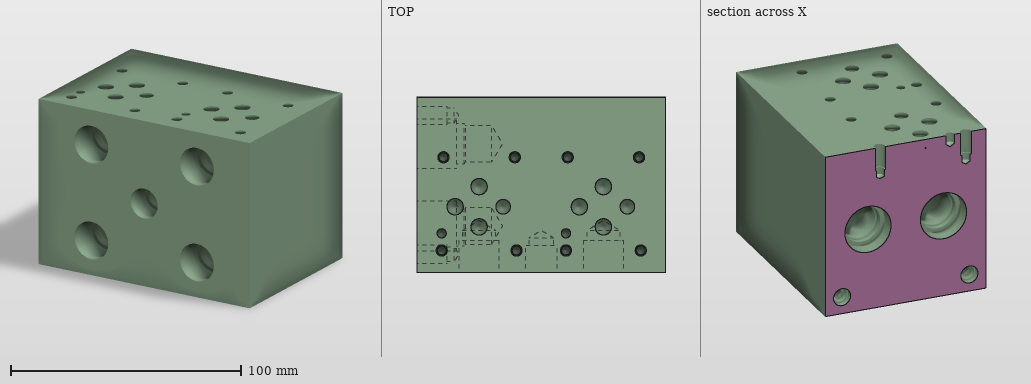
import cadquery as cq
import math

LENGTH = 108.0
SIDE = 76.2
DRILL_POINT_ANGLE = 118.0

INTO_END = (1, 0, 0)
INTO_FRONT = (0, 1, 0)
INTO_TOP = (0, 0, -1)

MAIN_PORT_SPACING = 35.7
MAIN_PORT_DIAMETER = 21.6
MAIN_PORT_DEPTH = 17.3
MAIN_PILOT_DIAMETER = 17.5
MAIN_PILOT_DEPTH = 20.5
MAIN_PASSAGE_DIAMETER = 15.9
MAIN_PASSAGE_DEPTH = 32.4

MOUNT_INSET = 8.0
MOUNT_THREAD_DIAMETER = 7.9
MOUNT_THREAD_DEPTH = 13.0
MOUNT_DRILL_DIAMETER = 6.5
MOUNT_DRILL_DEPTH = 16.2

STATION_SPACING = 54.0
SERVICE_PORT_SPACING = 44.3
SERVICE_PORT_DIAMETER = 17.3
SERVICE_PORT_DEPTH = 14.0
SERVICE_DRILL_DIAMETER = 14.2
SERVICE_DRILL_DEPTH = 18.4
GAUGE_PORT_DIAMETER = 13.8
GAUGE_PORT_DEPTH = 11.9
GAUGE_DRILL_DIAMETER = 10.7
GAUGE_DRILL_DEPTH = 15.1

REAR_SCREW_Y = 50.1
SCREW_ROW_SPACING = 40.5
REAR_SCREW_SPACING = 31.0
FRONT_SCREW_SPACING = 32.5
SCREW_THREAD_DIAMETER = 4.9
SCREW_THREAD_DEPTH = 10.8
SCREW_DRILL_DIAMETER = 3.8
SCREW_DRILL_DEPTH = 14.0
PIN_OFFSET = 7.5
PIN_DIAMETER = 4.0
PIN_DEPTH = 4.3
REAR_OIL_OFFSET = 12.7
SIDE_OIL_OFFSET = 21.5
FRONT_OIL_OFFSET = 30.2
SIDE_OIL_SPACING = 20.8
OIL_DIAMETER = 7.1
SMALL_OIL_DIAMETER = 6.4
OIL_DEPTH = 2.2


def mirrored(centre, spacing):
    """Two coordinates placed evenly about a centre."""
    return (centre - spacing / 2, centre + spacing / 2)


def drill_point_height(diameter):
    return diameter / 2 / math.tan(math.radians(DRILL_POINT_ANGLE / 2))


def blind_bore(position, direction, diameter, depth, pointed):
    """Round bore going inward from a face, with a flat or a conical drilled bottom."""
    start = cq.Vector(*position)
    inward = cq.Vector(*direction)
    radius = diameter / 2
    bore = cq.Solid.makeCylinder(radius, depth, start, inward)
    if not pointed:
        return bore
    tip = cq.Solid.makeCone(radius, 0, drill_point_height(diameter), start + inward * depth, inward)
    return bore.fuse(tip)


def threaded_hole(position, direction, thread, drill):
    """Flat-bottomed (diameter, depth) thread bore over a longer pointed (diameter, depth) drilling."""
    thread_bore = blind_bore(position, direction, *thread, pointed=False)
    drilling = blind_bore(position, direction, *drill, pointed=True)
    return thread_bore.fuse(drilling)


def main_ports():
    thread = (MAIN_PORT_DIAMETER, MAIN_PORT_DEPTH)
    pilot = (MAIN_PILOT_DIAMETER, MAIN_PILOT_DEPTH)
    tools = []
    for y in mirrored(SIDE / 2, MAIN_PORT_SPACING):
        position = (0, y, SIDE / 2)
        port = threaded_hole(position, INTO_END, thread, pilot)
        passage = blind_bore(position, INTO_END, MAIN_PASSAGE_DIAMETER, MAIN_PASSAGE_DEPTH, pointed=True)
        tools.append(port.fuse(passage))
    return tools


def mounting_holes():
    thread = (MOUNT_THREAD_DIAMETER, MOUNT_THREAD_DEPTH)
    drill = (MOUNT_DRILL_DIAMETER, MOUNT_DRILL_DEPTH)
    return [
        threaded_hole((0, y, MOUNT_INSET), INTO_END, thread, drill)
        for y in (MOUNT_INSET, SIDE - MOUNT_INSET)
    ]


def service_ports():
    thread = (SERVICE_PORT_DIAMETER, SERVICE_PORT_DEPTH)
    drill = (SERVICE_DRILL_DIAMETER, SERVICE_DRILL_DEPTH)
    return [
        threaded_hole((x, 0, z), INTO_FRONT, thread, drill)
        for x in mirrored(LENGTH / 2, STATION_SPACING)
        for z in mirrored(SIDE / 2, SERVICE_PORT_SPACING)
    ]


def gauge_port():
    thread = (GAUGE_PORT_DIAMETER, GAUGE_PORT_DEPTH)
    drill = (GAUGE_DRILL_DIAMETER, GAUGE_DRILL_DEPTH)
    return threaded_hole((LENGTH / 2, 0, SIDE / 2), INTO_FRONT, thread, drill)


def valve_station(station_x):
    """Screw holes, locating pin hole and four oil holes of one valve."""
    thread = (SCREW_THREAD_DIAMETER, SCREW_THREAD_DEPTH)
    drill = (SCREW_DRILL_DIAMETER, SCREW_DRILL_DEPTH)
    front_screw_y = REAR_SCREW_Y - SCREW_ROW_SPACING
    rear_screws = [(x, REAR_SCREW_Y) for x in mirrored(station_x, REAR_SCREW_SPACING)]
    front_screws = [(x, front_screw_y) for x in mirrored(station_x, FRONT_SCREW_SPACING)]
    tools = [threaded_hole((x, y, SIDE), INTO_TOP, thread, drill) for x, y in rear_screws + front_screws]

    pin_position = (station_x - FRONT_SCREW_SPACING / 2, front_screw_y + PIN_OFFSET, SIDE)
    tools.append(blind_bore(pin_position, INTO_TOP, PIN_DIAMETER, PIN_DEPTH, pointed=True))

    left_x, right_x = mirrored(station_x, SIDE_OIL_SPACING)
    oil_holes = [
        (station_x, REAR_OIL_OFFSET, OIL_DIAMETER),
        (station_x, FRONT_OIL_OFFSET, OIL_DIAMETER),
        (left_x, SIDE_OIL_OFFSET, OIL_DIAMETER),
        (right_x, SIDE_OIL_OFFSET, SMALL_OIL_DIAMETER),
    ]
    for x, offset, diameter in oil_holes:
        position = (x, REAR_SCREW_Y - offset, SIDE)
        tools.append(blind_bore(position, INTO_TOP, diameter, OIL_DEPTH, pointed=True))
    return tools


holes = main_ports() + mounting_holes() + service_ports() + [gauge_port()]
for centre_x in mirrored(LENGTH / 2, STATION_SPACING):
    holes += valve_station(centre_x)

block = cq.Solid.makeBox(LENGTH, SIDE, SIDE)
result = cq.Workplane("XY").newObject([block.cut(*holes)])